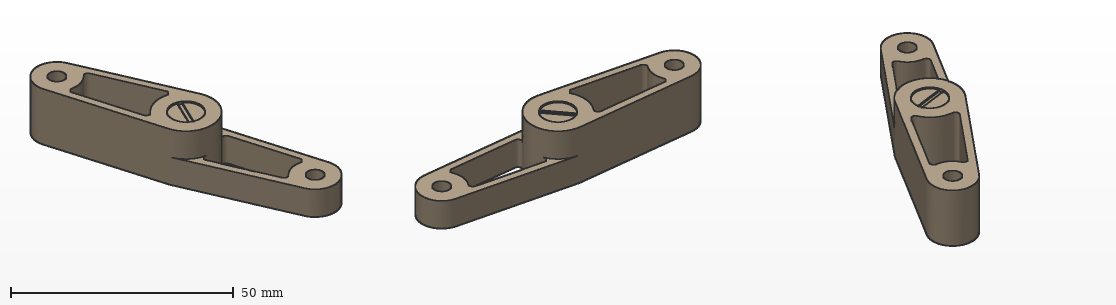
import cadquery as cq
import math

length = 76.7
width = 16.0
hub_radius = width / 2
end_radius = 6.0
hole_radius = 2.15
height = 15.0
low_height = height / 2
wall = 2.0
corner_radius = 1.0
screw_radius = 4.3
screw_recess = 0.4
slot_width = 1.15
slot_depth = 0.4
slot_angle = -45

reach = length / 2 - end_radius
side_sin = (hub_radius - end_radius) / reach
side_cos = math.sqrt(1 - side_sin**2)


def tapered_outline(side, inset):
    """Tangent outline of the hub and one end, drawn inward by inset."""
    hub = hub_radius - inset
    end = end_radius - inset
    hub_x = side * hub * side_sin
    end_x = side * (reach + end * side_sin)
    return (
        cq.Workplane("XY")
        .moveTo(hub_x, hub * side_cos)
        .lineTo(end_x, end * side_cos)
        .threePointArc((side * (reach + end), 0), (end_x, -end * side_cos))
        .lineTo(hub_x, -hub * side_cos)
        .threePointArc((-side * hub, 0), (hub_x, hub * side_cos))
        .close()
    )


def window(side, thickness):
    """Rounded opening between the hub and end discs, leaving the side walls."""
    end_disc = cq.Workplane("XY").center(side * reach, 0).circle(end_radius).extrude(thickness)
    hub_disc = cq.Workplane("XY").circle(hub_radius).extrude(thickness)
    opening = tapered_outline(side, wall).extrude(thickness).cut(hub_disc).cut(end_disc)
    return opening.edges("|Z").fillet(corner_radius)


def arm(side, thickness):
    """One arm with its hub, window and end hole; side is -1 or 1 along X."""
    body = tapered_outline(side, 0).extrude(thickness)
    hole = cq.Workplane("XY").center(side * reach, 0).circle(hole_radius).extrude(thickness)
    return body.cut(window(side, thickness)).cut(hole)


def screw_head():
    """Material removed above the sunken screw head and in its slot."""
    floor = height - screw_recess
    recess = cq.Workplane("XY").workplane(offset=floor).circle(screw_radius).extrude(screw_recess)
    slot_start = cq.Workplane("XY").workplane(offset=floor - slot_depth)
    slot = (
        slot_start.transformed(rotate=(0, 0, slot_angle))
        .rect(2 * screw_radius, slot_width)
        .extrude(slot_depth)
        .intersect(slot_start.circle(screw_radius).extrude(slot_depth))
    )
    return recess.union(slot)


result = arm(-1, height).union(arm(1, low_height)).cut(screw_head())